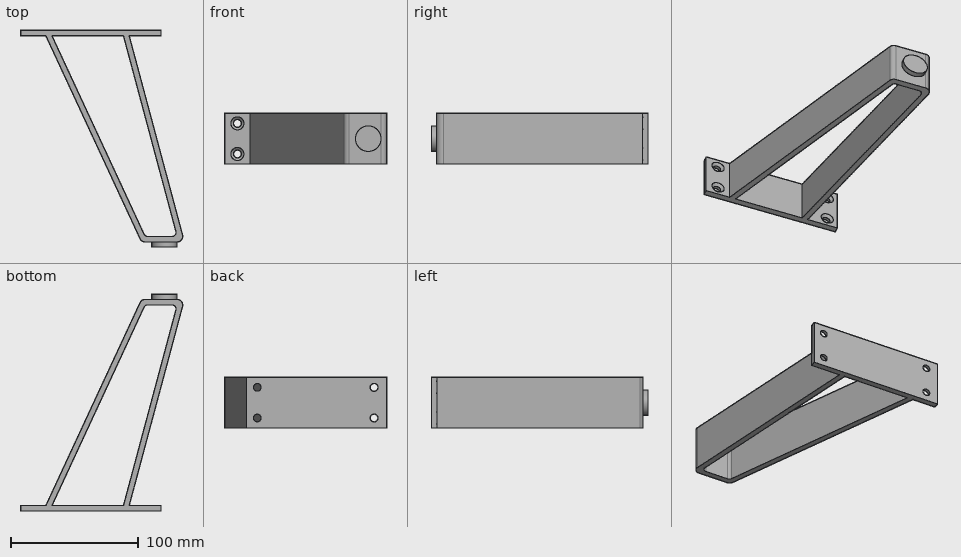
import cadquery as cq
import math

width = 40.0
leg_height = 166.0
plate_length = 110.0
plate_thickness = 4.5

strap_thickness = 4.5
outer_bend_radius = 4.5
inner_bend_radius = 3.0
left_lean = math.radians(24.9)
right_lean = math.radians(15.0)
left_leg_start = 19.7
right_leg_start = 85.14

foot_diameter = 20.0
foot_height = 4.0
foot_x = 112.5

hole_diameter = 6.0
countersink_diameter = 10.2
countersink_angle = 90.0
left_hole_x = 10.0
right_hole_x = 101.5
hole_spacing = 24.0

plate_front_y = -plate_thickness
strap_bottom_y = -leg_height


def leg_quadrilateral(inset, bottom_y):
    """Area between the legs, with both leg faces moved inward by inset."""
    left_top = left_leg_start + inset / math.cos(left_lean)
    right_top = right_leg_start - inset / math.cos(right_lean)
    drop = plate_front_y - bottom_y
    corners = [
        (left_top, plate_front_y),
        (left_top + drop * math.tan(left_lean), bottom_y),
        (right_top + drop * math.tan(right_lean), bottom_y),
        (right_top, plate_front_y),
    ]
    return cq.Workplane("XY").polyline(corners).close().extrude(width / 2, both=True)


def make_strap():
    outer = leg_quadrilateral(0, strap_bottom_y)
    outer = outer.faces("<Y").edges("|Z").fillet(outer_bend_radius)
    inner = leg_quadrilateral(strap_thickness, strap_bottom_y + strap_thickness)
    inner = inner.faces("<Y").edges("|Z").fillet(inner_bend_radius)
    return outer.cut(inner)


def make_plate():
    return cq.Workplane("XY").box(
        plate_length, plate_thickness, width, centered=(False, False, True)
    ).translate((0, plate_front_y, 0))


def make_foot():
    return (
        cq.Workplane("XZ", origin=(foot_x, strap_bottom_y, 0))
        .circle(foot_diameter / 2)
        .extrude(foot_height)
    )


def cut_screw_holes(body):
    hole_centers = [
        (x, z)
        for x in (left_hole_x, right_hole_x)
        for z in (-hole_spacing / 2, hole_spacing / 2)
    ]
    return (
        body.copyWorkplane(cq.Workplane("XZ", origin=(0, plate_front_y, 0)))
        .pushPoints(hole_centers)
        .cskHole(hole_diameter, countersink_diameter, countersink_angle, depth=plate_thickness)
    )


plate = cut_screw_holes(make_plate())
result = plate.union(make_strap()).union(make_foot())